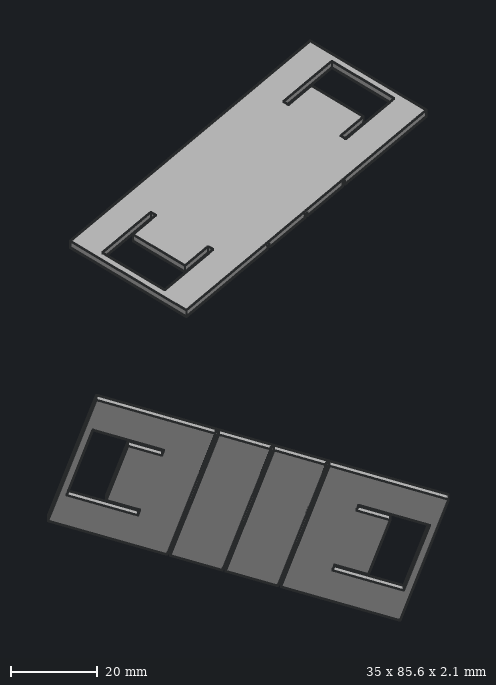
import cadquery as cq

width = 35.0
length = 85.6
thickness = 2.1

window_width = 18.8
window_length = 17.3
end_margin = 1.9
tongue_width = 15.75
tongue_length = 8.2

groove_width = 0.8
groove_depth = 1.0
groove_spacing = 13.4


def window_cutter(end):
    """U-shaped cutter for the window at the +Y (end=1) or -Y (end=-1) end."""
    outer_y = length / 2 - end_margin
    inner_y = outer_y - window_length
    window = (
        cq.Workplane("XY")
        .center(0, end * (outer_y + inner_y) / 2)
        .rect(window_width, window_length)
        .extrude(thickness)
    )
    tongue = (
        cq.Workplane("XY")
        .center(0, end * (inner_y + tongue_length / 2))
        .rect(tongue_width, tongue_length)
        .extrude(thickness)
    )
    return window.cut(tongue)


def groove_cutter(y):
    """Full-width rectangular groove in the bottom face, centred at y."""
    return cq.Workplane("XY").center(0, y).rect(width, groove_width).extrude(groove_depth)


result = cq.Workplane("XY").rect(width, length).extrude(thickness)

for end in (-1, 1):
    result = result.cut(window_cutter(end))

for step in (-1, 0, 1):
    result = result.cut(groove_cutter(step * groove_spacing))